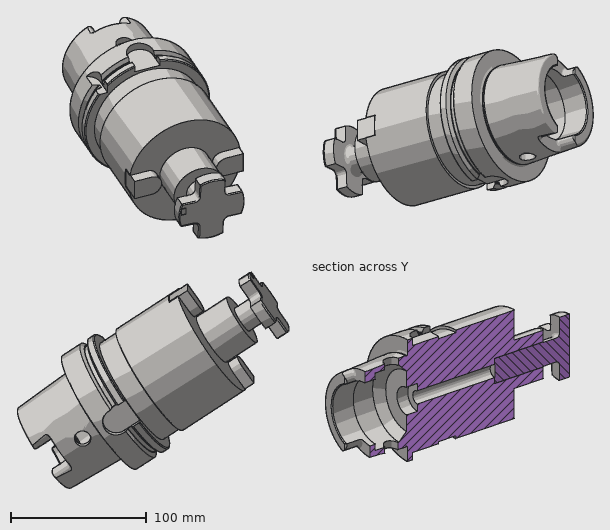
import cadquery as cq
import math


taper_end_x = 47.5
relief_start_x = 48.9
relief_end_x = 49.5
flange_x = 50.0
flange_end_x = 79.0
neck_end_x = 95.0
body_end_x = 149.9
pilot_end_x = 177.0

taper_mouth_radius = 35.4
taper_base_radius = 37.8
relief_radius = 37.2
relief_rim_radius = 39.0
flange_radius = 100.0 / 2
flange_end_chamfer = 0.8
neck_radius = 42.5
body_radius = 44.6
pilot_radius = 40.0 / 2
mouth_round = 1.8

groove_floor_radius = 46.0
groove_floor_start_x = 68.3
groove_floor_end_x = 71.5
groove_step_radius = 46.9
groove_side_angle = 30.0

bore_radius = 53.0 / 2
bore_chamfer = 0.8
undercut_radius = 63.0 / 2
undercut_start_x = 20.0
undercut_end_x = 42.0
bore_floor_radius = 24.6
bore_floor_x = 48.9
recess_radius = 22.5 / 2
recess_depth = 10.0
coolant_radius = 10.5 / 2

upper_cross_hole_radius = 12.5 / 2
lower_cross_hole_radius = 12.0 / 2
cross_hole_x = 35.0

notch_half_width = 20.0 / 2
notch_corner_radius = 12.0 / 2
notch_shelf_z = 32.0
notch_end_fillet = 2.0
notch_mouth_chamfer = 1.2
upper_notch_depth = 10.0
lower_notch_depth = 15.0

keyway_radius = 20.0 / 2
keyway_center_x = 64.8
keyway_floor_z = 44.0
orientation_wall_y = -32.0
orientation_floor_z = 31.3

key_width = 16.0
key_start_x = 141.8
key_end_x = 158.0
key_outer_y = 43.5
key_inner_y = 21.8

shank_radius = 20.0 / 2
shank_start_x = 131.3
head_start_x = 192.0
head_end_x = 201.5
shank_fillet = 3.0
head_radius = 52.1 / 2
arm_width = 20.2
arm_root_fillet = 4.0
head_turn = -2.3
head_chamfer_length = 1.2
head_chamfer_inset = 0.5
mark_end_x = 202.0
mark_length = 5.5
mark_width = 3.6
mark_center_y = -22.6
mark_center_z = 4.8

clearance = 10.0
reach = flange_radius + clearance


def x_cylinder(radius, start_x, end_x):
    return cq.Workplane("YZ").workplane(offset=start_x).circle(radius).extrude(end_x - start_x)


def revolve_about_x(profile):
    return profile.close().revolve(360, (0, 0, 0), (1, 0, 0))


def x_box(start_x, end_x, start_y, end_y, start_z, end_z):
    return cq.Workplane("XY").box(
        end_x - start_x, end_y - start_y, end_z - start_z, centered=False
    ).translate((start_x, start_y, start_z))


def holder_blank():
    groove_side_run = (flange_radius - groove_step_radius) * math.tan(math.radians(groove_side_angle))
    groove_start_x = groove_floor_start_x - groove_side_run
    groove_end_x = groove_floor_end_x + groove_side_run
    profile = (
        cq.Workplane("XY")
        .moveTo(0, 0)
        .lineTo(0, taper_mouth_radius)
        .lineTo(taper_end_x, taper_base_radius)
        .lineTo(relief_start_x, relief_radius)
        .lineTo(relief_end_x, relief_radius)
        .lineTo(flange_x, relief_rim_radius)
        .lineTo(flange_x, flange_radius)
        .lineTo(groove_start_x, flange_radius)
        .lineTo(groove_floor_start_x, groove_step_radius)
        .lineTo(groove_floor_start_x, groove_floor_radius)
        .lineTo(groove_floor_end_x, groove_floor_radius)
        .lineTo(groove_floor_end_x, groove_step_radius)
        .lineTo(groove_end_x, flange_radius)
        .lineTo(flange_end_x - flange_end_chamfer, flange_radius)
        .lineTo(flange_end_x, flange_radius - flange_end_chamfer)
        .lineTo(flange_end_x, neck_radius)
        .lineTo(neck_end_x, neck_radius)
        .lineTo(neck_end_x, body_radius)
        .lineTo(body_end_x, body_radius)
        .lineTo(body_end_x, pilot_radius)
        .lineTo(pilot_end_x, pilot_radius)
        .lineTo(pilot_end_x, 0)
    )
    return revolve_about_x(profile).faces("<X").edges().fillet(mouth_round)


def bore_cutter():
    profile = (
        cq.Workplane("XY")
        .moveTo(0, 0)
        .lineTo(0, bore_radius + bore_chamfer)
        .lineTo(bore_chamfer, bore_radius)
        .lineTo(undercut_start_x, bore_radius)
        .lineTo(undercut_start_x, undercut_radius)
        .lineTo(undercut_end_x, undercut_radius)
        .lineTo(bore_floor_x, bore_floor_radius)
        .lineTo(bore_floor_x, 0)
    )
    recess = x_cylinder(recess_radius, bore_floor_x, bore_floor_x + recess_depth)
    coolant_hole = x_cylinder(coolant_radius, bore_floor_x, shank_start_x)
    return revolve_about_x(profile).union(recess).union(coolant_hole)


def cross_hole_cutter():
    """Hole along Z through both shank walls, slightly wider in the +Z wall."""
    bores = cq.Workplane("XY").center(cross_hole_x, 0)
    lower_hole = bores.circle(lower_cross_hole_radius).extrude(-reach)
    upper_hole = bores.circle(upper_cross_hole_radius).extrude(reach)
    return lower_hole.union(upper_hole)


def drive_notch_cutter(depth):
    """Slot open toward +Z, its walls rolling over a quarter round onto a flat shelf."""
    shelf_y = notch_half_width + notch_corner_radius
    wall_top_z = notch_shelf_z - notch_corner_radius
    arc_y = shelf_y - notch_corner_radius * math.sqrt(0.5)
    arc_z = wall_top_z + notch_corner_radius * math.sqrt(0.5)
    slot = (
        cq.Workplane("YZ")
        .workplane(offset=-clearance)
        .moveTo(-notch_half_width, 0)
        .lineTo(notch_half_width, 0)
        .lineTo(notch_half_width, wall_top_z)
        .threePointArc((arc_y, arc_z), (shelf_y, notch_shelf_z))
        .lineTo(reach, notch_shelf_z)
        .lineTo(reach, reach)
        .lineTo(-reach, reach)
        .lineTo(-reach, notch_shelf_z)
        .lineTo(-shelf_y, notch_shelf_z)
        .threePointArc((-arc_y, arc_z), (-notch_half_width, wall_top_z))
        .close()
        .extrude(clearance + depth)
        .faces(">X")
        .edges()
        .fillet(notch_end_fillet)
    )
    mouth_half_width = notch_half_width + notch_mouth_chamfer
    mouth_chamfer = (
        cq.Workplane("XY")
        .moveTo(0, -mouth_half_width)
        .lineTo(notch_mouth_chamfer, -notch_half_width)
        .lineTo(notch_mouth_chamfer, notch_half_width)
        .lineTo(0, mouth_half_width)
        .close()
        .extrude(reach)
    )
    return slot.union(mouth_chamfer)


def keyway_cutter():
    """Keyway open toward +Z and +X, with a round closed end."""
    height = reach - keyway_floor_z
    round_end = (
        cq.Workplane("XY")
        .workplane(offset=keyway_floor_z)
        .center(keyway_center_x, 0)
        .circle(keyway_radius)
        .extrude(height)
    )
    straight = x_box(
        keyway_center_x, flange_end_x, -keyway_radius, keyway_radius, keyway_floor_z, reach
    )
    return round_end.union(straight)


def orientation_notch_cutter():
    """Corner notch toward -Y and +Z whose closed end is rounded like a keyway."""
    round_end = (
        cq.Workplane("XY")
        .workplane(offset=orientation_floor_z)
        .center(keyway_center_x, orientation_wall_y - keyway_radius)
        .circle(keyway_radius)
        .extrude(reach - orientation_floor_z)
    )
    straight = x_box(
        keyway_center_x, flange_end_x, -reach, orientation_wall_y, orientation_floor_z, reach
    )
    return round_end.union(straight)


def drive_key(side, outer_y):
    """Key with a round inner end, reaching out to outer_y on the +Y (1) or -Y (-1) side."""
    round_center_y = key_inner_y + key_width / 2
    round_end = x_cylinder(key_width / 2, key_start_x, key_end_x).translate((0, round_center_y, 0))
    block = x_box(key_start_x, key_end_x, round_center_y, outer_y, -key_width / 2, key_width / 2)
    key = round_end.union(block)
    return key if side > 0 else key.mirror("XZ")


def make_holder():
    holder = holder_blank().cut(bore_cutter())
    holder = holder.cut(cross_hole_cutter())
    holder = holder.cut(drive_notch_cutter(upper_notch_depth))
    holder = holder.cut(drive_notch_cutter(lower_notch_depth).mirror("XY"))
    holder = holder.cut(keyway_cutter()).cut(keyway_cutter().mirror("XY"))
    holder = holder.cut(orientation_notch_cutter())
    for side in (1, -1):
        holder = holder.cut(drive_key(side, reach))
    return holder.cut(x_cylinder(shank_radius, shank_start_x, pilot_end_x))


def screw_head():
    thickness = head_end_x - head_start_x
    arms = cq.Workplane("YZ").workplane(offset=head_start_x)
    cross = arms.rect(2 * reach, arm_width).extrude(thickness)
    cross = cross.union(arms.rect(arm_width, 2 * reach).extrude(thickness))
    inner_corners = cq.selectors.BoxSelector(
        (head_start_x, -arm_width, -arm_width), (head_end_x, arm_width, arm_width)
    )
    cross = cross.edges("|X").edges(inner_corners).fillet(arm_root_fillet)
    head = cross.intersect(x_cylinder(head_radius, head_start_x, head_end_x))
    head = head.faces(">X").chamfer(head_chamfer_inset, head_chamfer_length)
    return head.rotate((0, 0, 0), (1, 0, 0), head_turn)


def make_screw():
    shank_profile = (
        cq.Workplane("XY")
        .moveTo(shank_start_x, 0)
        .lineTo(shank_start_x, shank_radius)
        .lineTo(head_start_x - shank_fillet, shank_radius)
        .radiusArc((head_start_x, shank_radius + shank_fillet), -shank_fillet)
        .lineTo(head_start_x, 0)
    )
    mark = x_box(
        head_end_x,
        mark_end_x,
        mark_center_y - mark_width / 2,
        mark_center_y + mark_width / 2,
        mark_center_z - mark_length / 2,
        mark_center_z + mark_length / 2,
    )
    return screw_head().union(revolve_about_x(shank_profile)).union(mark)


holder = make_holder()
screw = make_screw()
drive_keys = [drive_key(side, key_outer_y) for side in (1, -1)]

result = cq.Compound.makeCompound(
    [holder.val(), screw.val(), *[key.val() for key in drive_keys]]
)